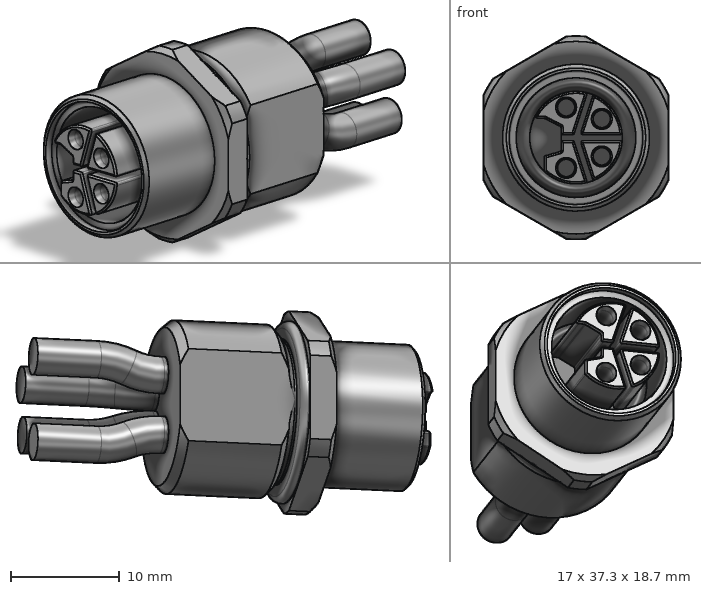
import cadquery as cq
import math


shell_front = 1.45
bore_step = 2.25
slot_floor = 6.0
bore_floor = 9.0
nut_front = 10.45
nut_rear = 12.95
collar_rear = 13.75
neck_end = 13.95
body_front = neck_end + 0.55
body_rear = 24.85
bend_start = 25.25
bend_end = 31.25
wire_end = 37.25

shell_radius = 13.5 / 2
shell_chamfer = 0.35
mouth_radius = 12.3 / 2
bore_radius = 11.0 / 2

nut_across_flats = 17.0
nut_corner_diameter = 18.7
nut_chamfer = 0.5
collar_radius = 8.4
collar_fillet = 0.65

body_radius = 8.0
body_chamfer = 0.7
body_rear_chamfer_length = 0.8

insert_radius = 4.25
insert_chamfer = 0.18
insert_corner_fillet = 0.2
slot_half_width = 0.28
slot_pitch = 72.0
contact_circle_radius = 2.925
contact_hole_diameter = 1.6
contact_mouth_diameter = 1.9
contact_lead_in = 0.7
contact_depth = 6.0

key_inner_x = -1.36
key_shoulder_x = -2.93
key_upper_inner_z = 1.0
key_upper_outer_z = 1.8
key_lower_inner_z = -1.25
key_lower_outer_z = -1.7

wire_diameter = 3.4
wire_offset = 1.2
wire_angles = [(108, 90), (36, 18), (-36, -54), (-108, -90)]


def cross_section(y):
    """Workplane across the axis at y, with local axes X and Z; it extrudes toward -Y."""
    return cq.Workplane("XZ", origin=(0, y, 0))


def disc(radius, start, end):
    return cross_section(start).circle(radius).extrude(start - end)


def revolve_about_axis(profile):
    """Turn a profile drawn as (radius, y) about the Y axis."""
    return profile.close().revolve(360, (0, 0, 0), (0, 1, 0))


def polar(radius, angle):
    return (radius * math.cos(math.radians(angle)), radius * math.sin(math.radians(angle)))


def make_shell():
    shell = disc(shell_radius, shell_front, body_front).faces("<Y").chamfer(shell_chamfer)
    shell = shell.cut(disc(mouth_radius, shell_front, bore_step))
    return shell.cut(disc(bore_radius, bore_step, bore_floor))


def make_seal_ring():
    """O-ring half sunk in the bore floor, filling the gap around the insert."""
    section_radius = (bore_radius - insert_radius) / 2
    profile = (
        cq.Workplane("XY")
        .moveTo(insert_radius, bore_floor)
        .threePointArc(
            (insert_radius + section_radius, bore_floor - section_radius),
            (bore_radius, bore_floor),
        )
    )
    return revolve_about_axis(profile)


def make_nut():
    hexagon = (
        cross_section(nut_rear)
        .polygon(6, nut_across_flats / math.cos(math.pi / 6))
        .extrude(nut_rear - nut_front)
        .rotate((0, 0, 0), (0, 1, 0), 30)
    )
    corner_limit = disc(nut_corner_diameter / 2, nut_front, nut_rear).faces("<Y").chamfer(nut_chamfer)
    collar = disc(collar_radius, nut_rear, collar_rear).faces(">Y").edges().fillet(collar_fillet)
    nut = hexagon.intersect(corner_limit).union(collar)
    return nut.cut(disc(bore_radius, nut_front, collar_rear))


def make_body():
    face_radius = body_radius - body_chamfer
    neck_fillet = body_front - neck_end
    arc_inset = neck_fillet * (1 - math.sqrt(0.5))
    profile = (
        cq.Workplane("XY")
        .moveTo(0, neck_end)
        .lineTo(shell_radius, neck_end)
        .threePointArc(
            (shell_radius + arc_inset, body_front - arc_inset),
            (face_radius, body_front),
        )
        .lineTo(body_radius, body_front + body_chamfer)
        .lineTo(body_radius, body_rear - body_rear_chamfer_length)
        .lineTo(face_radius, body_rear)
        .lineTo(0, body_rear)
    )
    between_flats = cq.Workplane("XY").box(2 * shell_radius, 2 * body_rear, 4 * body_radius)
    return revolve_about_axis(profile).intersect(between_flats)


def make_slot(angle):
    """Radial slot from the centre of the insert, in the direction of angle."""
    slot = (
        cross_section(slot_floor)
        .center(bore_radius / 2, 0)
        .rect(bore_radius, 2 * slot_half_width)
        .extrude(slot_floor)
    )
    return slot.rotate((0, 0, 0), (0, 1, 0), -angle)


def make_keyway():
    outside_x = -bore_radius
    return (
        cross_section(bore_floor)
        .polyline([
            (key_inner_x, key_lower_inner_z),
            (key_inner_x, key_upper_inner_z),
            (key_shoulder_x, key_upper_outer_z),
            (outside_x, key_upper_outer_z),
            (outside_x, -bore_radius),
            (key_shoulder_x, -bore_radius),
            (key_shoulder_x, key_lower_outer_z),
        ])
        .close()
        .extrude(bore_floor)
    )


def make_contact_hole(angle):
    x, z = polar(contact_circle_radius, angle)
    profile = (
        cq.Workplane("XY")
        .lineTo(contact_mouth_diameter / 2, 0)
        .lineTo(contact_hole_diameter / 2, contact_lead_in)
        .lineTo(contact_hole_diameter / 2, contact_depth)
        .lineTo(0, contact_depth)
    )
    return revolve_about_axis(profile).translate((x, 0, z))


def make_insert():
    insert = disc(insert_radius, 0, nut_front)
    for angle in (0, slot_pitch, -slot_pitch, 180):
        insert = insert.cut(make_slot(angle))
    insert = insert.cut(make_keyway())
    insert = insert.edges("|Y").fillet(insert_corner_fillet)
    insert = insert.faces("<Y").edges().chamfer(insert_chamfer)
    for contact_angle, _ in wire_angles:
        insert = insert.cut(make_contact_hole(contact_angle))
    return insert


def make_wire(contact_angle, offset_angle):
    """Wire with an S-bend of two equal arcs, offset sideways between two straight ends."""
    x, z = polar(contact_circle_radius, contact_angle)
    direction_x, direction_z = polar(1, offset_angle)
    bend_plane = cq.Plane(
        origin=(x, 0, z),
        xDir=(direction_x, 0, direction_z),
        normal=(-direction_z, 0, direction_x),
    )
    path = (
        cq.Workplane(bend_plane)
        .moveTo(0, body_rear)
        .lineTo(0, bend_start)
        .tangentArcPoint((wire_offset / 2, (bend_start + bend_end) / 2), relative=False)
        .tangentArcPoint((wire_offset, bend_end), relative=False)
        .lineTo(wire_offset, wire_end)
    )
    return cross_section(body_rear).center(x, z).circle(wire_diameter / 2).sweep(path)


result = make_shell().union(make_seal_ring()).union(make_body())
result = result.union(make_nut()).union(make_insert())
for contact_angle, offset_angle in wire_angles:
    result = result.union(make_wire(contact_angle, offset_angle))